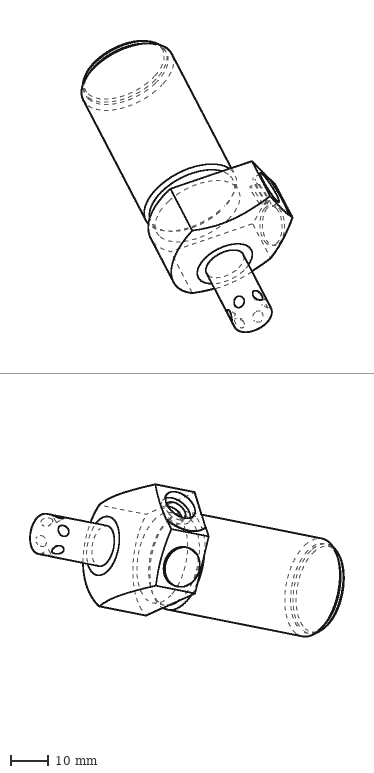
import cadquery as cq
import math

total_length = 90.1
body_radius = 13.4
neck_radius = 12.35
neck_chamfer = body_radius - neck_radius
body_end = 47.0
rear_face_radius = 11.7
rear_step_radius = 12.3
rear_step_start = 0.6
rear_step_end = 1.4
rear_bevel_end = 2.5

head_start = 50.8
head_end = 69.8
head_half_height = 28.6 / 2
head_arc_radius = 18.9
head_arc_center_y = 4.6
ridge_y = 22.7
facet_angle = 25.0
nose_radius = 8.0
nose_slope_angle = 25.5

port_x = head_start + 6.3
port_shift = 2.0
spotface_radius = 9.1
spotface_depth = 0.135
port_radius = 4.6
port_depth = 2.6
port_bore_radius = 3.1
port_bore_depth = 4.5
plug_shift = 1.5
plug_radius = 5.4
plug_height = 0.8

rod_radius = 11.1 / 2
rod_end_fillet = 1.0
dimple_count = 6
dimple_x = 86.15
dimple_radius = 1.7


def make_body():
    """Revolve the stepped body, its neck and the piston rod."""
    profile = (
        cq.Workplane("XY")
        .moveTo(0, 0)
        .lineTo(0, rear_face_radius)
        .lineTo(rear_step_start, rear_step_radius)
        .lineTo(rear_step_end, rear_step_radius)
        .lineTo(rear_bevel_end, body_radius)
        .lineTo(body_end - neck_chamfer, body_radius)
        .lineTo(body_end, neck_radius)
        .lineTo(head_start, neck_radius)
        .lineTo(head_start, rod_radius)
        .lineTo(total_length, rod_radius)
        .lineTo(total_length, 0)
        .close()
    )
    body = profile.revolve(360, (0, 0, 0), (1, 0, 0))
    return body.faces(">X").edges().fillet(rod_end_fillet)


def make_head():
    """Extrude the pointed outline and trim its front to a cone about the body axis."""
    facet_start_y = ridge_y - head_half_height * math.tan(math.radians(facet_angle))
    arc_run = math.sqrt(head_arc_radius**2 - head_half_height**2)
    arc_start_y = head_arc_center_y - arc_run
    arc_middle = (head_arc_center_y - head_arc_radius, 0)
    outline = (
        cq.Workplane("YZ", origin=(head_start, 0, 0))
        .moveTo(ridge_y, 0)
        .lineTo(facet_start_y, head_half_height)
        .lineTo(arc_start_y, head_half_height)
        .threePointArc(arc_middle, (arc_start_y, -head_half_height))
        .lineTo(facet_start_y, -head_half_height)
        .close()
    )
    head = outline.extrude(head_end - head_start)

    envelope_radius = 2 * ridge_y - nose_radius
    nose_drop = (envelope_radius - nose_radius) * math.tan(math.radians(nose_slope_angle))
    envelope = (
        cq.Workplane("XY")
        .moveTo(head_start, 0)
        .lineTo(head_start, envelope_radius)
        .lineTo(head_end - nose_drop, envelope_radius)
        .lineTo(head_end, nose_radius)
        .lineTo(head_end, 0)
        .close()
        .revolve(360, (0, 0, 0), (1, 0, 0))
    )
    return head.intersect(envelope)


def facet_plane(side, shift):
    """Plane facing out of the upper (+1) or lower (-1) facet, shifted away from the ridge."""
    angle = math.radians(facet_angle)
    from_ridge = head_half_height / math.cos(angle) / 2 + shift
    origin = (
        port_x,
        ridge_y - from_ridge * math.sin(angle),
        side * from_ridge * math.cos(angle),
    )
    normal = (0, math.cos(angle), side * math.sin(angle))
    return cq.Plane(origin=origin, xDir=(1, 0, 0), normal=normal)


def make_port():
    """Shallow spotface, wide port and narrower bore, all sunk into the upper facet."""
    facet = cq.Workplane(facet_plane(1, port_shift))
    spotface = facet.circle(spotface_radius).extrude(-spotface_depth)
    port = facet.circle(port_radius).extrude(-port_depth)
    bore = facet.circle(port_bore_radius).extrude(-port_bore_depth)
    return spotface.union(port).union(bore)


def make_plug():
    """Disc standing proud of the lower facet."""
    facet = cq.Workplane(facet_plane(-1, plug_shift))
    return facet.circle(plug_radius).extrude(plug_height)


def make_dimple(angle):
    """Right-angled conical dimple in the rod, turned about the rod axis."""
    cone = cq.Solid.makeCone(
        0,
        2 * dimple_radius,
        2 * dimple_radius,
        cq.Vector(dimple_x, dimple_radius - rod_radius, 0),
        cq.Vector(0, -1, 0),
    )
    return cone.rotate(cq.Vector(0, 0, 0), cq.Vector(1, 0, 0), angle)


result = make_body().union(make_head()).cut(make_port()).union(make_plug())
for index in range(dimple_count):
    result = result.cut(cq.Workplane(make_dimple(index * 360 / dimple_count)))